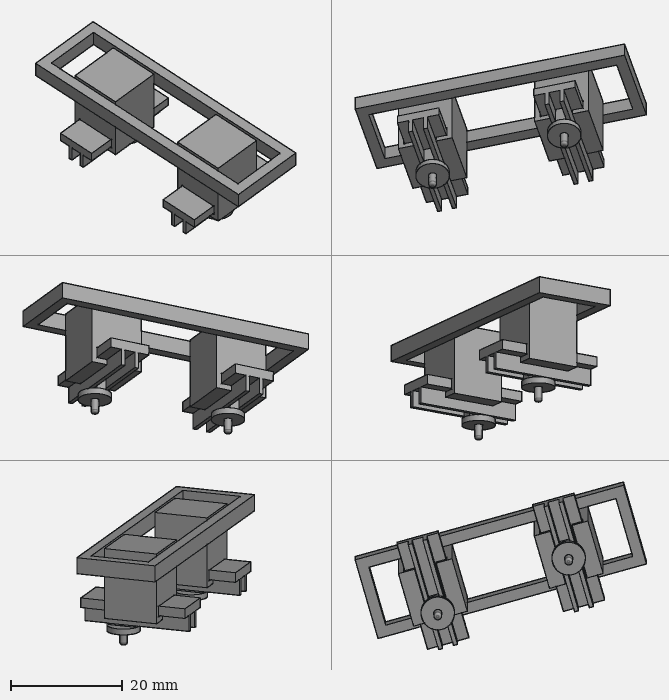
import cadquery as cq

frame_length = 50.0
frame_width = 15.0
frame_height = 3.0
frame_wall = 2.0

block_size = 10.0
block_height = 13.0
block_lip = 1.0
slot_width = 8.0
slot_height = 2.0
mouth_width = 4.0
block_bottom = -block_height
slot_top = block_bottom + block_lip + slot_height

rail_length = 20.0
head_width = 7.7
head_height = 1.8
leg_height = 3.0
leg_span = 3.5
leg_gap = 2.0
head_bottom = slot_top - head_height

blade_thickness = 1.85
blade_width = 5.0
blade_height = 3.5
disc_diameter = 6.0
disc_thickness = 1.1
bore_diameter = 1.5
disc_top = head_bottom - blade_height

pin_diameter = 1.4
tip_radius = 0.5
overall_height = 19.05
pin_length = overall_height + disc_top

station_x = 12.65
plunger_offset = 3.25
stations = [(-station_x, plunger_offset), (station_x, 0.0)]


def box_below(size_x, size_y, height, top):
    """Box centred on X and Y whose top face is at the given Z."""
    return cq.Workplane("XY", origin=(0, 0, top)).rect(size_x, size_y).extrude(-height)


def cylinder_below(diameter, height, top):
    """Upright cylinder centred on X and Y whose top face is at the given Z."""
    return cq.Workplane("XY", origin=(0, 0, top)).circle(diameter / 2).extrude(-height)


def make_frame():
    outer = box_below(frame_length, frame_width, frame_height, 0)
    window = box_below(frame_length - 2 * frame_wall, frame_width - 2 * frame_wall, frame_height, 0)
    return outer.cut(window)


def make_block():
    body = box_below(block_size, block_size, block_height, 0)
    slot = box_below(slot_width, block_size, slot_height, slot_top)
    mouth = box_below(mouth_width, block_size, slot_height + block_lip, slot_top)
    return body.cut(slot).cut(mouth)


def make_rail():
    head = box_below(head_width, rail_length, head_height, slot_top)
    legs = box_below(leg_span, rail_length, leg_height, head_bottom)
    gap = box_below(leg_gap, rail_length, leg_height, head_bottom)
    return head.union(legs.cut(gap))


def make_plunger():
    blade = box_below(blade_thickness, blade_width, blade_height, head_bottom)
    disc = cylinder_below(disc_diameter, disc_thickness, disc_top)
    bore = cylinder_below(bore_diameter, disc_thickness, disc_top)
    return blade.union(disc.cut(bore))


def make_pin():
    pin = cylinder_below(pin_diameter, pin_length, disc_top)
    return pin.faces("<Z").edges().fillet(tip_radius)


frame = make_frame()
bodies = [frame.val()]
for x, plunger_y in stations:
    block = make_block().translate((x, 0, 0))
    rail = make_rail().translate((x, 0, 0))
    plunger = make_plunger().translate((x, plunger_y, 0))
    pin = make_pin().translate((x, plunger_y, 0))
    bodies += [block.val(), rail.val(), plunger.val(), pin.val()]

result = cq.Compound.makeCompound(bodies)